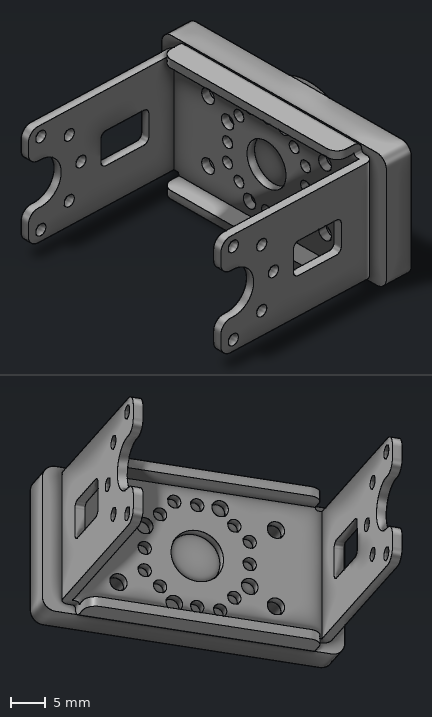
import cadquery as cq
import math


sheet = 1.5
bend_radius = 1.5
bracket_width = 41.0
arm_height = 20.0
arm_length = 30.5
flange_width = 36.0
flange_height = 24.0
flange_length = 5.0
flange_corner_radius = 2.0
relief_radius = 0.5

pivot_inset = 2.5
pivot_y = pivot_inset - arm_length
notch_diameter = 8.1
tip_radius = 2.0
ring_radius = 8.0
arm_hole_diameter = 2.0
arm_hole_angles = (90, 135, 180, 225, 270)

window_length = 9.5
window_height = 6.0
window_start = 6.5
window_corner_radius = 1.0

center_hole_diameter = 8.0
horn_hole_diameter = 2.0
large_horn_hole_diameter = 2.5
horn_hole_offset = 3.5

block_width = 46.11
block_height = 22.8
block_depth = 5.0
block_corner_radius = 2.0
boss_diameter = 20.6
boss_height = 2.0

mount_hole_diameter = 2.6
mount_spacing_x = 24.0
mount_spacing_z = 12.0


def cylinders_along_y(points, diameter, y_from, y_to):
    """Cylinders from y_from down to y_to, centred on the given (x, z) points."""
    return (
        cq.Workplane("XZ", origin=(0, y_from, 0))
        .pushPoints(points)
        .circle(diameter / 2)
        .extrude(y_from - y_to)
    )


def rotated(x, z, quarter_turns):
    """Turn an (x, z) point about the centre by quarter turns."""
    for _ in range(quarter_turns):
        x, z = -z, x
    return x, z


def bent_channel(outside, inside, bend_axis):
    """U channel open toward -Y with its back on Y = 0; the outside of both bends is rounded."""
    length = outside[1]
    outer = cq.Workplane().box(*outside).translate((0, -length / 2, 0))
    outer = outer.faces(">Y").edges("|" + bend_axis).fillet(bend_radius)
    inner = cq.Workplane().box(*inside).translate((0, -sheet - inside[1] / 2, 0))
    return outer.cut(inner)


def end_notch():
    """Round notch at the pivot, open to the arm ends and cut through both arms."""
    notch = (
        cq.Workplane("YZ")
        .center(pivot_y, 0)
        .circle(notch_diameter / 2)
        .extrude(bracket_width / 2, both=True)
    )
    mouth = cq.Workplane().box(bracket_width, pivot_inset, notch_diameter)
    mouth = mouth.translate((0, pivot_y - pivot_inset / 2, 0))
    return notch.union(mouth)


def arm_openings():
    """Ring holes around the pivot and the window, cut through both arms."""
    hole_points = [
        (
            pivot_y - ring_radius * math.cos(math.radians(angle)),
            ring_radius * math.sin(math.radians(angle)),
        )
        for angle in arm_hole_angles
    ]
    holes = (
        cq.Workplane("YZ")
        .pushPoints(hole_points)
        .circle(arm_hole_diameter / 2)
        .extrude(bracket_width / 2, both=True)
    )
    window = cq.Workplane().box(bracket_width, window_length, window_height)
    window = window.edges("|X").fillet(window_corner_radius)
    window = window.translate((0, -window_start - window_length / 2, 0))
    return holes.union(window)


def arms():
    """Web and two arms, with the notched and rounded arm ends."""
    outside = (bracket_width, arm_length, arm_height)
    inside = (bracket_width - 2 * sheet, arm_length - sheet, arm_height)
    body = bent_channel(outside, inside, "Z").cut(end_notch())
    body = body.faces("<Y").edges("|X").fillet(tip_radius)
    return body.cut(arm_openings())


def flanges():
    """Web and the two short flanges above and below it."""
    outside = (flange_width, flange_length, flange_height)
    inside = (flange_width, flange_length - sheet, flange_height - 2 * sheet)
    body = bent_channel(outside, inside, "X")
    return body.faces("<Y").edges("|Z").fillet(flange_corner_radius)


def relief_fillets():
    """Small concave fillets in the web corners between the arms and the flanges."""
    corner = (
        cq.Workplane("XZ")
        .moveTo(flange_width / 2, arm_height / 2)
        .line(relief_radius, 0)
        .radiusArc((flange_width / 2, arm_height / 2 + relief_radius), relief_radius)
        .close()
        .extrude(sheet)
    )
    upper = corner.union(corner.mirror("YZ"))
    return upper.union(upper.mirror("XY"))


def mount_holes():
    """Four holes in a rectangle, through the block and the web."""
    points = [
        (side * mount_spacing_x / 2, level * mount_spacing_z / 2)
        for side in (-1, 1)
        for level in (-1, 1)
    ]
    return cylinders_along_y(points, mount_hole_diameter, block_depth, -sheet)


def horn_holes():
    """Center hole and the horn holes around it: per quarter turn three small and one large."""
    diagonal = ring_radius / math.sqrt(2)
    small = []
    large = []
    for turn in range(4):
        small.append(rotated(0, ring_radius, turn))
        small.append(rotated(diagonal, diagonal, turn))
        small.append(rotated(-horn_hole_offset, ring_radius, turn))
        large.append(rotated(horn_hole_offset, ring_radius, turn))
    holes = cylinders_along_y(small, horn_hole_diameter, 0, -sheet)
    holes = holes.union(cylinders_along_y(large, large_horn_hole_diameter, 0, -sheet))
    return holes.union(cylinders_along_y([(0, 0)], center_hole_diameter, 0, -sheet))


def make_bracket():
    """Bent bracket with all its holes."""
    body = arms().union(flanges()).union(relief_fillets())
    return body.cut(horn_holes()).cut(mount_holes())


def make_block():
    """Rounded base block with a round boss on its back."""
    block = cq.Workplane().box(block_width, block_depth, block_height)
    block = block.edges("|Y").fillet(block_corner_radius)
    block = block.translate((0, block_depth / 2, 0))
    boss = cylinders_along_y([(0, 0)], boss_diameter, block_depth + boss_height, block_depth)
    return block.union(boss).cut(mount_holes())


bracket = make_bracket()
block = make_block()

result = cq.Compound.makeCompound([bracket.val(), block.val()])